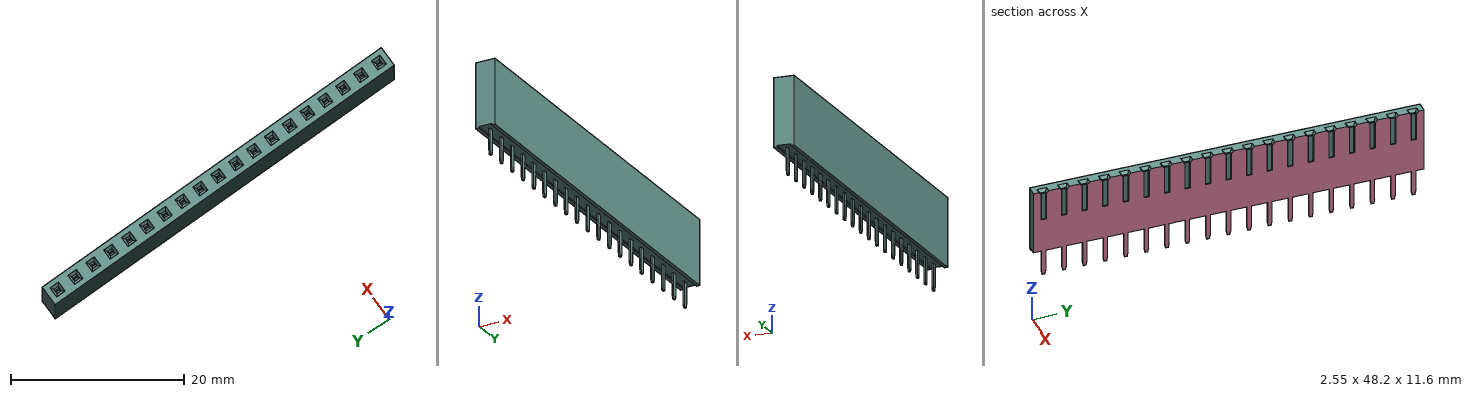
import cadquery as cq

ways = 19
length = 48.25
width = 2.55
total_height = 11.6
pitch = length / ways

housing_height = 8.5
groove_width = 1.7
groove_depth = 0.2

mouth_x = 1.3
mouth_y = 1.2
funnel_depth = 0.35
throat_size = 0.65
slit_width = 0.2
end_gap = 0.05
cavity_depth = 3.85

pin_thickness = 0.2
pin_width = 0.6
pin_tip_width = 0.35
pin_taper = 0.5

housing_bottom = -housing_height
groove_top = housing_bottom + groove_depth
pin_tip = -total_height
pin_shoulder = pin_tip + pin_taper
way_positions = [(index - (ways - 1) / 2) * pitch for index in range(ways)]


def box_between(size_x, size_y, bottom, top):
    """Box centred on the Z axis, reaching from bottom to top."""
    return cq.Workplane("XY").workplane(offset=bottom).rect(size_x, size_y).extrude(top - bottom)


def make_housing():
    """Rectangular bar with a shallow groove along its underside."""
    bar = box_between(width, length, housing_bottom, 0)
    groove = box_between(groove_width, length, housing_bottom, groove_top)
    return bar.cut(groove)


def make_socket():
    """Tapered entry, with a slit between the tines and a narrow gap at each end of them."""
    funnel = (
        cq.Workplane("XY")
        .rect(mouth_x, mouth_y)
        .workplane(offset=-funnel_depth)
        .rect(throat_size, throat_size)
        .loft(ruled=True)
    )
    socket = funnel.union(box_between(slit_width, throat_size, -cavity_depth, -funnel_depth))
    gap = box_between(throat_size, end_gap, -cavity_depth, -funnel_depth)
    gap_center = (throat_size - end_gap) / 2
    for y in (-gap_center, gap_center):
        socket = socket.union(gap.translate((0, y, 0)))
    return socket


def make_pin():
    """Flat pin with a tip that narrows across its width."""
    return (
        cq.Workplane("YZ")
        .moveTo(-pin_width / 2, groove_top)
        .lineTo(-pin_width / 2, pin_shoulder)
        .lineTo(-pin_tip_width / 2, pin_tip)
        .lineTo(pin_tip_width / 2, pin_tip)
        .lineTo(pin_width / 2, pin_shoulder)
        .lineTo(pin_width / 2, groove_top)
        .close()
        .extrude(pin_thickness / 2, both=True)
    )


result = make_housing()
socket = make_socket()
pin = make_pin()
for way_y in way_positions:
    result = result.cut(socket.translate((0, way_y, 0)))
    result = result.union(pin.translate((0, way_y, 0)))